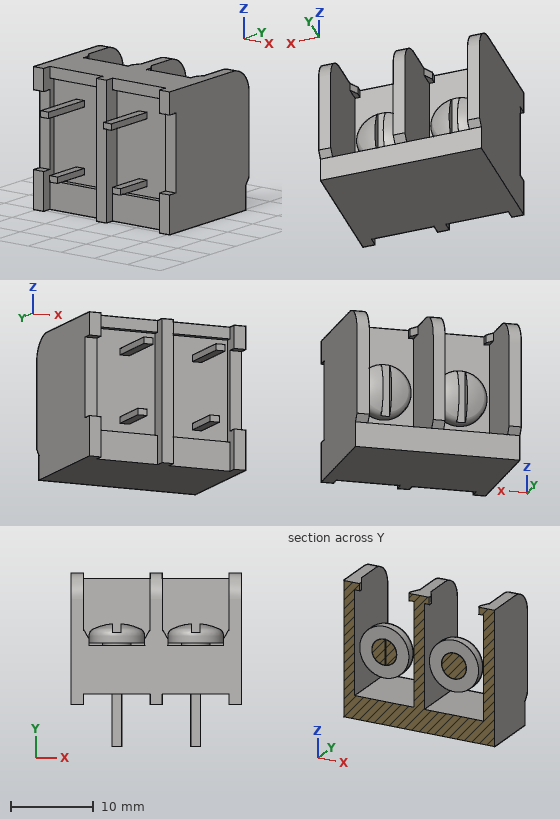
import cadquery as cq
import math

bay_count = 2
bay_width = 8.0
mid_wall = 1.5
side_wall = 1.55
pitch = bay_width + mid_wall
width = bay_count * bay_width + (bay_count - 1) * mid_wall + 2 * side_wall
height = 17.78

wall_depth = 15.88
wall_corner_radius = 3.2
base_front = 15.22
base_height = 3.1
wall_chamfer_top = 4.0
foot_height = 1.27

foot_gap_bottom = 4.97
foot_gap_top = 14.9

recess_depth = 0.8
recess_bottom = 3.6
recess_top = 16.32

seat_y = 7.15
lip_thickness = 1.0
lip_start_y = 9.04
lip_angle = 30.0

head_radius = 3.35
head_rim_height = 1.44
head_height = 2.36
head_gap = 0.25
head_edge_radius = 0.9
shank_radius = 1.7
shank_embed = 0.25
slot_width = 1.06
slot_depth = 1.05

pin_width = 1.2
pin_thickness = 0.8
upper_pin_z = 13.68
lower_pin_z = 5.25
upper_pin_length = 5.07
lower_pin_length = 3.28

screw_z = (upper_pin_z + lower_pin_z) / 2
bay_centers = [(i - (bay_count - 1) / 2) * pitch for i in range(bay_count)]


def block(x_center, x_size, y_min, y_max, z_min, z_max):
    """Box centred on x_center, between the given Y and Z limits."""
    return (
        cq.Workplane("XY")
        .box(x_size, y_max - y_min, z_max - z_min, centered=(True, False, False))
        .translate((x_center, y_min, z_min))
    )


def make_wall_profile():
    """Full-width extrusion of the side outline of the walls."""
    return (
        cq.Workplane("YZ")
        .moveTo(0, 0)
        .lineTo(base_front, 0)
        .lineTo(base_front, base_height)
        .lineTo(wall_depth, wall_chamfer_top)
        .lineTo(wall_depth, height - wall_corner_radius)
        .radiusArc((wall_depth - wall_corner_radius, height), -wall_corner_radius)
        .lineTo(0, height)
        .close()
        .extrude(width / 2, both=True)
    )


def make_bay_cut(x):
    """Open bay above the base, leaving the two tapered lips at its top."""
    lip_bottom = height - lip_thickness
    lower = block(x, bay_width, seat_y, wall_depth, base_height, lip_bottom)
    half_bay = bay_width / 2
    lip_end_y = lip_start_y - (half_bay - head_radius) / math.tan(math.radians(lip_angle))
    upper = (
        cq.Workplane("XY", origin=(x, 0, lip_bottom))
        .polyline([
            (-half_bay, wall_depth),
            (-half_bay, lip_start_y),
            (-head_radius, lip_end_y),
            (-head_radius, seat_y),
            (head_radius, seat_y),
            (head_radius, lip_end_y),
            (half_bay, lip_start_y),
            (half_bay, wall_depth),
        ])
        .close()
        .extrude(lip_thickness)
    )
    return lower.union(upper)


def make_rear_cut(x):
    """Gap between the feet plus the shallow recess in the rear face."""
    gap = block(x, bay_width, 0, foot_height, 0, height)
    recess = block(x, bay_width, 0, foot_height + recess_depth, recess_bottom, recess_top)
    return gap.union(recess)


def make_housing():
    housing = make_wall_profile()
    for x in bay_centers:
        housing = housing.cut(make_bay_cut(x)).cut(make_rear_cut(x))
    for side in (-1, 1):
        x = side * (width - side_wall) / 2
        housing = housing.cut(
            block(x, side_wall, 0, foot_height, foot_gap_bottom, foot_gap_top)
        )
    return housing


def make_screw(x):
    """Slotted pan-head screw whose short shank is embedded in the seat."""
    head_y = seat_y + head_gap
    top_y = head_y + head_height
    crown_height = head_height - head_rim_height
    sphere_radius = (head_radius ** 2 + crown_height ** 2) / (2 * crown_height)
    rim_y = head_y + head_rim_height
    near_axis = head_radius / 10
    rim_edge = cq.selectors.BoxSelector(
        (-near_axis, rim_y - near_axis, -near_axis),
        (near_axis, rim_y + near_axis, near_axis),
    )
    head = (
        cq.Workplane("XY")
        .moveTo(0, head_y)
        .lineTo(head_radius, head_y)
        .lineTo(head_radius, rim_y)
        .radiusArc((0, top_y), -sphere_radius)
        .close()
        .revolve(360, (0, 0, 0), (0, 1, 0))
        .edges(rim_edge)
        .fillet(head_edge_radius)
    )
    slot = block(0, slot_width, top_y - slot_depth, top_y, -head_radius, head_radius)
    shank = (
        cq.Workplane("XZ", origin=(0, head_y, 0))
        .circle(shank_radius)
        .extrude(head_gap + shank_embed)
    )
    return head.cut(slot).union(shank).translate((x, 0, screw_z))


def make_pin(x, z, length):
    """Rectangular pin rooted in the rear recess."""
    root_y = foot_height + recess_depth
    return block(x, pin_width, -length, root_y, z - pin_thickness / 2, z + pin_thickness / 2)


result = make_housing()
for bay_x in bay_centers:
    result = result.union(make_screw(bay_x))
    result = result.union(make_pin(bay_x, upper_pin_z, upper_pin_length))
    result = result.union(make_pin(bay_x, lower_pin_z, lower_pin_length))